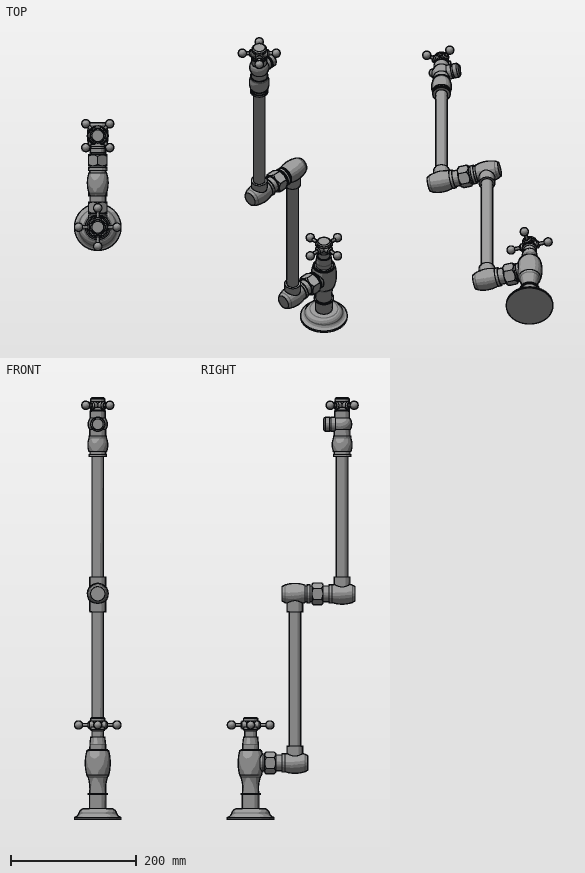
import cadquery as cq

total_height = 670.0
overall_width = 74.5
lower_pipe_y = 70.0
upper_pipe_y = 145.5
lower_joint_z = 90.0
upper_joint_z = 358.5
pipe_radius = 9.5

handle_height = 21.5
hub_radius = 11.5
hub_rim = 2.0
hub_waist_radius = 8.0
hub_flange = 6.0
boss_radius = 6.0
boss_reach = 15.5
arm_radius = 3.0
knob_radius = 7.0
knob_height = 9.5
lower_handle_reach = overall_width / 2
upper_handle_reach = 33.5
upper_handle_angle = 45
arm_angle = 90
lower_handle_z = 140.5
upper_handle_z = total_height - handle_height

foot_radius = overall_width / 2
foot_rim = 3.5
foot_top_radius = 22.0
foot_top = 17.5
foot_step_radius = 30.0
foot_step_z = 10.0
foot_swell = 1.0
stem_radius = 13.5
stem_ring_z = 39.5
column_ring_radius = 15.5
column_ring = 2.0
waist_radius = 13.0
waist_z = 51.5
flare_radius = 15.5
flare_z = 67.0
bulb_radius = 20.0
bulb_end_radius = 17.5
bulb_low = 70.0
bulb_high = 2 * lower_joint_z - bulb_low
shoulder_z = 119.0
neck_low_radius = 13.0
neck_high_radius = 11.5
neck_top = 130.5
spindle_radius = 9.5

elbow_radius = 14.0
elbow_bulge = 17.0
elbow_half = 16.0
elbow_cap_radius = 11.5
elbow_cap_reach = 21.0
collar_radius = 13.0
collar_rise = 27.0
collar_drop = 29.0
sleeve_radius = 13.0
coupling_ring_radius = 15.0
coupling_ring = 5.0
nut_corner_radius = 17.5
nut_sides = 6
nut_turn = 90
nut_length = 18.0
nut_chamfer = 3.0
nut_gap = 14.0
nut_ring_gap = 3.0

valve_ball_radius = 15.5
valve_z = 627.5
valve_neck_radius = 12.0
outlet_radius = 11.5
outlet_reach = 29.5
outlet_groove_start = 17.5
outlet_groove = 3.0
outlet_groove_depth = 1.0
outlet_chamfer = 3.0
valve_low = 576.0
valve_end_radius = 14.0
valve_bulge = 16.0
valve_throat_radius = 13.0
valve_ring = 3.5
valve_ring_spacing = 5.0
valve_barrel_top = 609.0


def turned(profile):
    """Solid made by closing a half profile along the upright axis and spinning it."""
    return profile.close().revolve(360, (0, 0), (0, 1))


def disc(radius, low, high):
    """Upright cylinder between two heights."""
    return cq.Workplane("XY").workplane(offset=low).circle(radius).extrude(high - low)


def cone(low_radius, high_radius, low, high):
    """Upright truncated cone between two heights."""
    points = [(0, low), (low_radius, low), (high_radius, high), (0, high)]
    return turned(cq.Workplane("XZ").polyline(points))


def barrel(end_radius, middle_radius, low, high):
    """Upright cask whose radius follows an arc."""
    profile = (
        cq.Workplane("XZ")
        .moveTo(0, low)
        .lineTo(end_radius, low)
        .threePointArc((middle_radius, (low + high) / 2), (end_radius, high))
        .lineTo(0, high)
    )
    return turned(profile)


def joined(pieces):
    """Fuse a list of bodies into one."""
    body = pieces[0]
    for piece in pieces[1:]:
        body = body.union(piece)
    return body


def along_y(body):
    """Turn an upright body so that its +Z axis points along +Y."""
    return body.rotate((0, 0, 0), (1, 0, 0), -90)


def cross_handle(reach):
    """Spool hub with four bossed arms that end in round knobs; its underside is at z = 0."""
    pieces = [
        disc(hub_waist_radius, 0, handle_height),
        disc(hub_radius, 0, hub_flange).faces("<Z").chamfer(hub_rim),
        disc(hub_radius, handle_height - hub_flange, handle_height).faces(">Z").chamfer(hub_rim),
    ]
    knob_centre = reach - knob_radius
    arm = joined([
        disc(boss_radius, 0, boss_reach).faces(">Z").chamfer(hub_rim),
        disc(arm_radius, 0, knob_centre),
        cq.Workplane("XY").sphere(knob_radius).translate((0, 0, knob_centre)),
    ])
    arm = along_y(arm).translate((0, 0, knob_height))
    for angle in range(0, 360, arm_angle):
        pieces.append(arm.rotate((0, 0, 0), (0, 0, 1), angle))
    return joined(pieces)


def base_column():
    """Flared foot, ringed stem, bulb and neck up to the lower handle."""
    swell_middle = ((foot_step_radius + foot_top_radius) / 2, (foot_step_z + foot_top) / 2)
    dip_middle = ((foot_radius + foot_step_radius) / 2, (foot_rim + foot_step_z) / 2)
    foot_profile = (
        cq.Workplane("XZ")
        .lineTo(foot_radius, 0)
        .lineTo(foot_radius, foot_rim)
        .threePointArc(
            (dip_middle[0] - foot_swell, dip_middle[1] - foot_swell), (foot_step_radius, foot_step_z)
        )
        .threePointArc(
            (swell_middle[0] + foot_swell, swell_middle[1] + foot_swell), (foot_top_radius, foot_top)
        )
        .lineTo(0, foot_top)
    )
    waist_profile = (
        cq.Workplane("XZ")
        .moveTo(0, stem_ring_z)
        .lineTo(stem_radius, stem_ring_z)
        .threePointArc((waist_radius, waist_z), (flare_radius, flare_z))
        .lineTo(0, flare_z)
    )
    pieces = [
        turned(foot_profile),
        disc(stem_radius, foot_top, stem_ring_z),
        disc(column_ring_radius, stem_ring_z, stem_ring_z + column_ring),
        turned(waist_profile),
        cone(flare_radius, bulb_end_radius, flare_z, bulb_low),
        barrel(bulb_end_radius, bulb_radius, bulb_low, bulb_high),
        disc(column_ring_radius, bulb_high, bulb_high + column_ring),
        disc(neck_low_radius, bulb_high, shoulder_z),
        cone(neck_low_radius, neck_high_radius, shoulder_z, neck_top),
        disc(spindle_radius, neck_top, lower_handle_z),
    ]
    return joined(pieces)


def elbow(collar):
    """Cask lying along Y with a tapered cap on its +Y end and an upright pipe collar."""
    cask = along_y(barrel(elbow_radius, elbow_bulge, -elbow_half, elbow_half))
    cap = along_y(cone(elbow_radius, elbow_cap_radius, elbow_half, elbow_cap_reach))
    return joined([cask, cap, collar])


def coupling(length):
    """Sleeve along Y from y = 0, ending in the next elbow, with a hexagon nut between two rings."""
    nut_low = length - elbow_half - nut_gap - nut_length
    ring_lows = [nut_low - nut_ring_gap - coupling_ring, length - elbow_half - coupling_ring]
    pieces = [disc(sleeve_radius, 0, length)]
    for ring_low in ring_lows:
        pieces.append(disc(coupling_ring_radius, ring_low, ring_low + coupling_ring))
    hexagon = (
        cq.Workplane("XY")
        .workplane(offset=nut_low)
        .transformed(rotate=(0, 0, nut_turn))
        .polygon(nut_sides, 2 * nut_corner_radius)
        .extrude(nut_length)
    )
    rounded_blank = disc(nut_corner_radius, nut_low, nut_low + nut_length).edges().chamfer(nut_chamfer)
    pieces.append(hexagon.intersect(rounded_blank))
    return along_y(joined(pieces))


def top_valve():
    """Cask-shaped sleeve, round valve body with an outlet toward -Y, and the handle neck."""
    outlet = disc(outlet_radius, 0, outlet_reach).faces(">Z").chamfer(outlet_chamfer)
    groove_end = outlet_groove_start + outlet_groove
    groove_floor = disc(outlet_radius - outlet_groove_depth, outlet_groove_start, groove_end)
    groove = disc(outlet_radius, outlet_groove_start, groove_end).cut(groove_floor)
    outlet = along_y(outlet.cut(groove)).mirror("XZ").translate((0, 0, valve_z))
    barrel_low = valve_low + valve_ring_spacing + valve_ring
    pieces = [
        disc(valve_end_radius, valve_low, valve_low + valve_ring),
        disc(valve_throat_radius, valve_low, valve_z),
        barrel(valve_end_radius, valve_bulge, barrel_low, valve_barrel_top - valve_ring),
        disc(valve_end_radius, valve_barrel_top - valve_ring, valve_barrel_top),
        cq.Workplane("XY").sphere(valve_ball_radius).translate((0, 0, valve_z)),
        disc(valve_neck_radius, valve_z, upper_handle_z),
        outlet,
    ]
    return joined(pieces)


rising_elbow = elbow(disc(collar_radius, 0, collar_rise))
hanging_elbow = elbow(disc(collar_radius, -collar_drop, 0)).mirror("XZ")
lower_pipe = disc(pipe_radius, lower_joint_z, upper_joint_z)
upper_pipe = disc(pipe_radius, upper_joint_z, valve_z)
upper_handle = cross_handle(upper_handle_reach).rotate((0, 0, 0), (0, 0, 1), upper_handle_angle)

result = joined([
    base_column(),
    cross_handle(lower_handle_reach).translate((0, 0, lower_handle_z)),
    coupling(lower_pipe_y).translate((0, 0, lower_joint_z)),
    rising_elbow.translate((0, lower_pipe_y, lower_joint_z)),
    lower_pipe.translate((0, lower_pipe_y, 0)),
    hanging_elbow.translate((0, lower_pipe_y, upper_joint_z)),
    coupling(upper_pipe_y - lower_pipe_y).translate((0, lower_pipe_y, upper_joint_z)),
    rising_elbow.translate((0, upper_pipe_y, upper_joint_z)),
    upper_pipe.translate((0, upper_pipe_y, 0)),
    top_valve().translate((0, upper_pipe_y, 0)),
    upper_handle.translate((0, upper_pipe_y, upper_handle_z)),
])